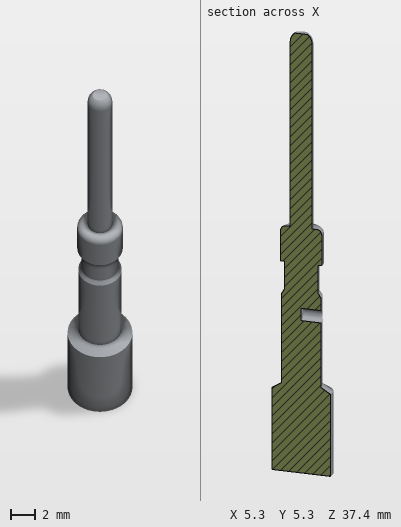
import cadquery as cq
import math

base_diameter = 5.3
body_diameter = 3.55
neck_diameter = 3.05
collar_diameter = 3.75
pin_diameter = 2.02

base_top = 7.0
body_bottom = 7.5
body_top = 15.1
neck_bottom = 15.5
collar_bottom = 17.85
collar_top = 20.9
total_height = 37.4

collar_fillet = 0.5
tip_round_height = 0.82

side_hole_diameter = 1.0
side_hole_height = 13.5


def turned_pin():
    """Revolve the stepped half outline, with a flattened spherical tip, about Z."""
    base_radius = base_diameter / 2
    body_radius = body_diameter / 2
    neck_radius = neck_diameter / 2
    collar_radius = collar_diameter / 2
    pin_radius = pin_diameter / 2

    sphere_center = total_height - tip_round_height
    half_angle = math.asin(tip_round_height / pin_radius) / 2
    tip_flat_radius = math.sqrt(pin_radius**2 - tip_round_height**2)
    tip_arc_middle = (
        pin_radius * math.cos(half_angle),
        sphere_center + pin_radius * math.sin(half_angle),
    )

    fillet_inset = collar_fillet * (1 - math.sqrt(0.5))
    fillet_middle = (collar_radius - fillet_inset, collar_top - fillet_inset)

    outline = (
        cq.Workplane("XZ")
        .moveTo(0, 0)
        .lineTo(base_radius, 0)
        .lineTo(base_radius, base_top)
        .lineTo(body_radius, body_bottom)
        .lineTo(body_radius, body_top)
        .lineTo(neck_radius, neck_bottom)
        .lineTo(neck_radius, collar_bottom)
        .lineTo(collar_radius, collar_bottom)
        .lineTo(collar_radius, collar_top - collar_fillet)
        .threePointArc(fillet_middle, (collar_radius - collar_fillet, collar_top))
        .lineTo(pin_radius, collar_top)
        .lineTo(pin_radius, sphere_center)
        .threePointArc(tip_arc_middle, (tip_flat_radius, total_height))
        .lineTo(0, total_height)
        .close()
    )
    return outline.revolve(360, (0, 0, 0), (0, 1, 0))


def side_hole():
    """Radial cutter running from the axis out through the +Y side."""
    return (
        cq.Workplane("XZ")
        .center(0, side_hole_height)
        .circle(side_hole_diameter / 2)
        .extrude(-body_diameter)
    )


result = turned_pin().cut(side_hole())